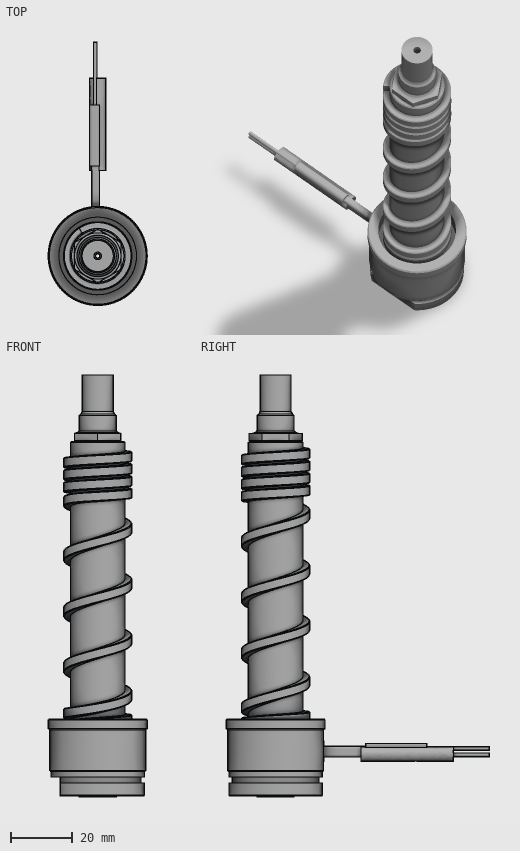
import cadquery as cq
import math

total_height = 136.2
foot_z = 0.3
groove_z = 4.5
collar_z = 6.4
body_z = 8.6
flange_z = 22.0
base_top_z = 25.2
tube_top_z = 114.7
hex_z = 115.0
hex_top_z = 117.3
journal_foot_z = 117.5
journal_z = 118.1
journal_top_z = 123.5
shaft_z = 124.4

overall_depth = 85.0

end_boss_r = 6.0
foot_r = 15.1
groove_r = 14.0
body_r = 15.5
flange_diameter = 32.0
flange_r = flange_diameter / 2
tube_r = 8.9
hex_seat_r = 7.5
journal_foot_r = 6.7
journal_r = 6.0
shoulder_r = 5.5
shaft_r = 5.0

edge_chamfer = 0.4
foot_chamfer = 0.3
flat_x = -12.1

recess_r = 12.5
recess_depth = 5.5

hex_across_flats = 15.0

bore_r = 0.7
mouth_r = 1.2
mouth_depth = 4.1

coil_r = 11.0
coil_embedding = 0.4
coil_root_r = tube_r - coil_embedding
coil_root_width = 3.7
coil_flare_r = 9.4
coil_width = 3.1
coil_tip_chamfer = 0.3
open_pitch = 18.0
close_pitch = 4.0
lower_bend = 260.0
lower_bend_z = 27.8
open_angle = 3 * 360 + 287.0
lower_close_angle = 1.5 * 360
upper_close_angle = 3 * 360 + 297.0
bend_blend = 60.0
coil_sweep = lower_close_angle + open_angle + upper_close_angle
coil_sections = 24
points_per_section = 10

cable_x = -0.7
cable_z = 14.6
cable_width = 2.6
cable_height = 3.5
cable_corner_r = 0.8
cable_start_y = 13.6
sleeve_width = 5.3
sleeve_height = 4.6
sleeve_z = 13.8
sleeve_start_y = 27.5
sleeve_end_y = 57.3
jacket_x = -1.02
jacket_z = 15.0
jacket_width = 3.3
jacket_height = 4.6
jacket_corner_r = 1.16
jacket_start_y = 29.0
jacket_end_y = 48.8
wire_r = 0.61
wire_x = -0.8
wire_spacing = 2.0
wire_overlap = 1.4
wire_end_y = overall_depth - flange_r


def turned_body():
    """Half section of the base, tube and shaft, revolved about Z."""
    c = edge_chamfer
    floor_z = base_top_z - recess_depth
    points = [
        (0, 0),
        (end_boss_r, 0),
        (end_boss_r, foot_z),
        (foot_r - foot_chamfer, foot_z),
        (foot_r, foot_z + foot_chamfer),
        (foot_r, groove_z),
        (groove_r, groove_z),
        (groove_r, collar_z),
        (foot_r, collar_z),
        (foot_r, body_z - c),
        (body_r, body_z),
        (body_r, flange_z - c),
        (flange_r, flange_z),
        (flange_r, base_top_z - c),
        (flange_r - c, base_top_z),
        (recess_r, base_top_z),
        (recess_r, floor_z),
        (tube_r, floor_z),
        (tube_r, tube_top_z - c),
        (tube_r - c, tube_top_z),
        (hex_seat_r, tube_top_z),
        (hex_seat_r, hex_top_z),
        (journal_foot_r, journal_foot_z),
        (journal_r, journal_z),
        (journal_r, journal_top_z - journal_r + shoulder_r),
        (shoulder_r, journal_top_z),
        (shaft_r, shaft_z),
        (shaft_r, total_height),
        (0, total_height),
    ]
    return cq.Workplane("XZ").polyline(points).close().revolve(360, (0, 0), (0, 1))


def hexagon():
    """Hexagonal collar between the tube and the journal."""
    corner_diameter = hex_across_flats / math.cos(math.pi / 6)
    return (
        cq.Workplane("XY", origin=(0, 0, hex_z))
        .transformed(rotate=(0, 0, 30))
        .polygon(6, corner_diameter)
        .extrude(hex_top_z - hex_z)
    )


def softened_bend(angle):
    """Integral of a step at angle 0 that is spread evenly over the bend blend."""
    if angle <= -bend_blend:
        return 0.0
    if angle >= bend_blend:
        return angle
    return (angle + bend_blend) ** 2 / (4 * bend_blend)


def coil_height(angle):
    """Height of the coil's centreline; the angle is counted from the lower bend."""
    extra_rise = softened_bend(angle) - softened_bend(angle - open_angle)
    return lower_bend_z + (close_pitch * angle + (open_pitch - close_pitch) * extra_rise) / 360


def coil_edge(radius, offset):
    """One long edge of the coil, offset in height from its centreline, with angle as parameter."""
    steps = coil_sections * points_per_section
    angles = [-lower_close_angle + coil_sweep * i / steps for i in range(steps + 1)]
    points = []
    for angle in angles:
        turn = math.radians(lower_bend + angle)
        points.append(
            cq.Vector(radius * math.cos(turn), radius * math.sin(turn), coil_height(angle) + offset)
        )
    return cq.Edge.makeSpline(points, parameters=angles)


def coil():
    """Ruled faces between neighbouring edges, in short sections, with a flat face at each end."""
    upper_side = [
        (coil_root_r, coil_root_width / 2),
        (coil_flare_r, coil_width / 2),
        (coil_r - coil_tip_chamfer, coil_width / 2),
        (coil_r, coil_width / 2 - coil_tip_chamfer),
    ]
    lower_side = [(radius, -offset) for radius, offset in reversed(upper_side)]
    edges = [coil_edge(radius, offset) for radius, offset in upper_side + lower_side]
    faces = []
    for section in range(coil_sections):
        start = -lower_close_angle + coil_sweep * section / coil_sections
        end = -lower_close_angle + coil_sweep * (section + 1) / coil_sections
        pieces = [edge.trim(start, end) for edge in edges]
        for i in range(len(pieces)):
            faces.append(cq.Face.makeRuledSurface(pieces[i - 1], pieces[i]))
    for end in (0, 1):
        corners = [edge.positionAt(end) for edge in edges]
        faces.append(cq.Face.makeFromWires(cq.Wire.makePolygon(corners, close=True)))
    return cq.Workplane(cq.Solid.makeSolid(cq.Shell.makeShell(faces)))


def rounded_bar(x, z, width, height, corner_r, start_y, end_y):
    """Bar along Y with rounded long edges."""
    return (
        cq.Workplane("XY")
        .box(width, end_y - start_y, height)
        .edges("|Y")
        .fillet(corner_r)
        .translate((x, (start_y + end_y) / 2, z))
    )


def cable():
    """Cable with its sleeve, jacket and two bare wires."""
    bars = rounded_bar(
        cable_x, cable_z, cable_width, cable_height, cable_corner_r, cable_start_y, jacket_start_y
    )
    sleeve = (
        cq.Workplane("XZ", origin=(0, sleeve_end_y, sleeve_z))
        .ellipse(sleeve_width / 2, sleeve_height / 2)
        .extrude(sleeve_end_y - sleeve_start_y)
    )
    bars = bars.union(sleeve)
    bars = bars.union(
        rounded_bar(
            jacket_x, jacket_z, jacket_width, jacket_height, jacket_corner_r,
            jacket_start_y, jacket_end_y,
        )
    )
    for side in (-1, 1):
        wire = (
            cq.Workplane("XZ", origin=(wire_x, wire_end_y, cable_z + side * wire_spacing / 2))
            .circle(wire_r)
            .extrude(wire_end_y - jacket_end_y + wire_overlap)
        )
        bars = bars.union(wire)
    return bars


def foot_flat():
    """Block to cut away beyond the wrench flat, up to the collar."""
    size = 2 * flange_r
    block = cq.Workplane("XY").box(size, size, collar_z, centered=(True, True, False))
    return block.translate((flat_x - size / 2, 0, 0))


def bore():
    mouth = (
        cq.Workplane("XY", origin=(0, 0, total_height - mouth_depth))
        .circle(mouth_r)
        .extrude(mouth_depth)
    )
    return cq.Workplane("XY").circle(bore_r).extrude(total_height).union(mouth)


solid_parts = turned_body().union(hexagon()).union(coil()).union(cable())
result = solid_parts.cut(foot_flat()).cut(bore())